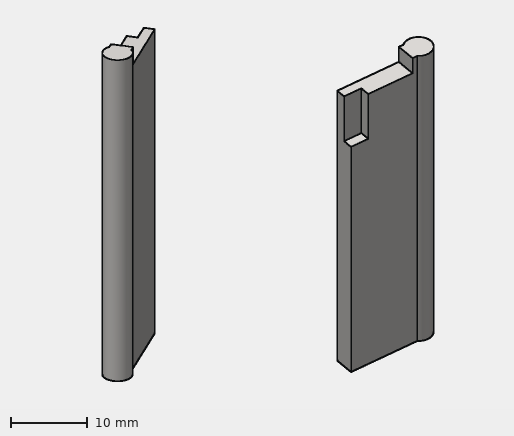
import cadquery as cq

height = 47.45
depth = 14.1
rod_diameter = 4.0

blade_thickness = 3.0
top_step_drop = 2.5
neck_depth = 4.1

notch_depth = 2.8
notch_height = 7.45

rod_radius = rod_diameter / 2
blade_back = depth - rod_radius
neck_back = neck_depth - rod_radius
blade_height = height - top_step_drop


def blade_block(back, block_height):
    """Block of blade thickness from the rod axis back to the given Y."""
    return cq.Workplane("XY").box(
        blade_thickness, back, block_height, centered=(True, False, False)
    )


def corner_notch():
    """Cutter for the -X half of the blade at its rear top corner."""
    return (
        cq.Workplane("XY")
        .box(blade_thickness / 2, notch_depth, notch_height, centered=False)
        .translate((-blade_thickness / 2, blade_back - notch_depth, blade_height - notch_height))
    )


rod = cq.Workplane("XY").circle(rod_radius).extrude(height)
neck = blade_block(neck_back, height)
blade = blade_block(blade_back, blade_height).cut(corner_notch())

result = rod.union(neck).union(blade)